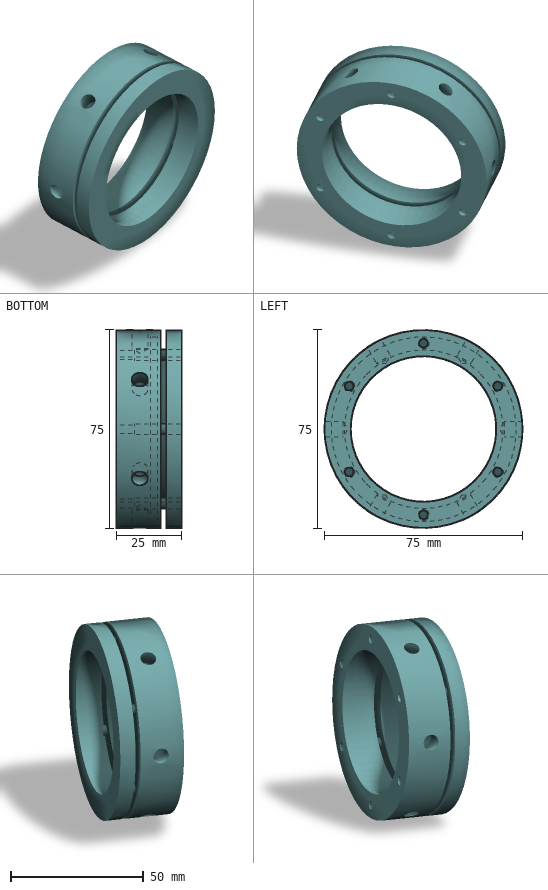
import cadquery as cq
import math

OUTER_DIAMETER = 75.0
BORE_DIAMETER = 55.0
LENGTH = 25.0

SLOT_START = 17.0
SLOT_WIDTH = 1.95
SLOT_FLOOR_DIAMETER = 60.0

GROOVE_START = 13.0
GROOVE_WIDTH = 2.55
GROOVE_FLOOR_DIAMETER = OUTER_DIAMETER - (SLOT_FLOOR_DIAMETER - BORE_DIAMETER)

PIN_COUNT = 6
PIN_CIRCLE_RADIUS = 32.5
PIN_DIAMETER = 4.05
PIN_HOLE_DIAMETER = 3.3
PIN_ENGAGEMENT = 6.0
PIN_START = GROOVE_START - PIN_ENGAGEMENT
PIN_LENGTH = LENGTH - PIN_START

RADIAL_HOLE_COUNT = 6
RADIAL_HOLE_DIAMETER = 6.0
RADIAL_HOLE_X = 9.0
RADIAL_HOLE_DEPTH = 7.0
DRILL_POINT_ANGLE = 118.0


def cylinder(x_start, length, diameter, y=0.0, z=0.0):
    """Solid cylinder parallel to X."""
    return cq.Workplane("YZ", origin=(x_start, y, z)).circle(diameter / 2).extrude(length)


def ring(x_start, length, outer_diameter, inner_diameter):
    """Concentric tube parallel to X."""
    return cylinder(x_start, length, outer_diameter).cut(cylinder(x_start, length, inner_diameter))


def pin_positions():
    """Pin centres (y, z), starting at the top."""
    angles = [2 * math.pi * i / PIN_COUNT for i in range(PIN_COUNT)]
    return [(PIN_CIRCLE_RADIUS * math.sin(a), PIN_CIRCLE_RADIUS * math.cos(a)) for a in angles]


def make_pin(y, z):
    """Pin ending flush with the flange face."""
    return cylinder(PIN_START, PIN_LENGTH, PIN_DIAMETER, y, z)


def radial_drill():
    """Drill-shaped cutter reaching in from the -Y side."""
    radius = RADIAL_HOLE_DIAMETER / 2
    outer_y = -OUTER_DIAMETER / 2
    shoulder_y = outer_y + RADIAL_HOLE_DEPTH
    tip_y = shoulder_y + radius / math.tan(math.radians(DRILL_POINT_ANGLE / 2))
    profile = [
        (RADIAL_HOLE_X, outer_y),
        (RADIAL_HOLE_X + radius, outer_y),
        (RADIAL_HOLE_X + radius, shoulder_y),
        (RADIAL_HOLE_X, tip_y),
    ]
    section = cq.Workplane("XY").polyline(profile).close()
    return section.revolve(360, (RADIAL_HOLE_X, outer_y), (RADIAL_HOLE_X, tip_y))


def cut_ring_slots(body):
    """Cut the outer slot and the inner groove, leaving a thin disc between them."""
    slot = ring(SLOT_START, SLOT_WIDTH, OUTER_DIAMETER, SLOT_FLOOR_DIAMETER)
    groove = ring(GROOVE_START, GROOVE_WIDTH, GROOVE_FLOOR_DIAMETER, BORE_DIAMETER)
    return body.cut(slot).cut(groove)


def cut_pin_holes(body):
    """Cut the matching hole for each pin and the narrower hole in front of it."""
    for y, z in pin_positions():
        body = body.cut(cylinder(0, PIN_START, PIN_HOLE_DIAMETER, y, z))
        body = body.cut(make_pin(y, z))
    return body


def cut_radial_holes(body):
    """Cut the radial holes, spaced evenly around X."""
    drill = radial_drill()
    for i in range(RADIAL_HOLE_COUNT):
        body = body.cut(drill.rotate((0, 0, 0), (1, 0, 0), 360 * i / RADIAL_HOLE_COUNT))
    return body


def make_housing():
    """Ring body and flange in one piece, joined by the thin disc."""
    body = ring(0, LENGTH, OUTER_DIAMETER, BORE_DIAMETER)
    body = cut_ring_slots(body)
    body = cut_pin_holes(body)
    return cut_radial_holes(body)


housing = make_housing()
pins = [make_pin(y, z) for y, z in pin_positions()]

result = cq.Compound.makeCompound([housing.val(), *[pin.val() for pin in pins]])